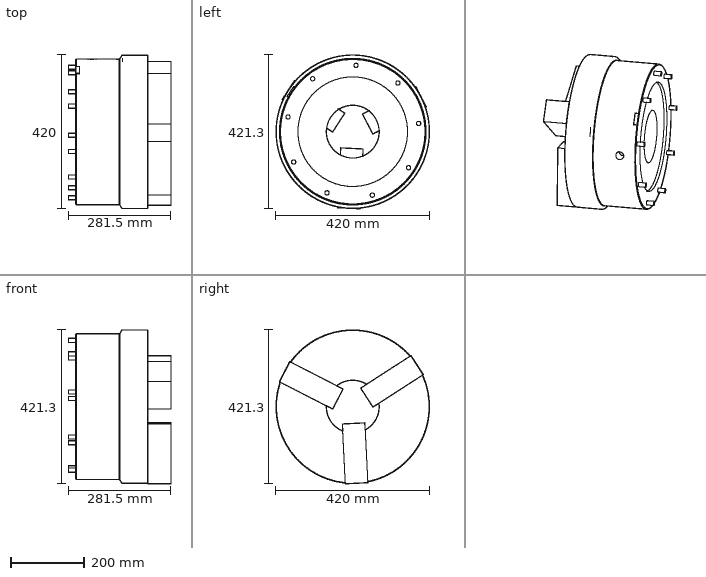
import cadquery as cq
import math

total_length = 281.5

body_radius = 199.5
flange_radius = 420.0 / 2
cone_start = 120.5
flange_start = 127.0
flange_end = 197.5
rear_chamfer = 2.0
front_chamfer = 1.3
cone_fillet = 2.0
bore_radius = 72.0
recess_radius = 150.0
recess_depth = 8.0

bolt_count = 9
bolt_radius = 6.0
bolt_circle_radius = 181.5
bolt_length = 20.0

jaw_count = 3
jaw_width = 62.0
jaw_inner = 45.5
jaw_outer = flange_radius
jaw_length = total_length - bolt_length - flange_end

turn = 2.85
first_jaw_angle = turn + 180 / jaw_count
key_angle = turn - 60
port_angle = turn - 90

port_radius = 11.0
port_place = 44.5
port_depth = 38.0

key_width = 32.5
key_start = 1.0
key_length = 10.0
key_outer = 203.0


def disc(radius, start, length):
    """Round disc about the X axis."""
    return cq.Workplane("YZ").workplane(offset=start).circle(radius).extrude(length)


def radial_block(start, length, width, inner, outer, angle):
    """Box between two radii, turned about X from +Z towards -Y."""
    block = cq.Workplane("XY").box(length, width, outer - inner, centered=(False, True, False))
    return block.translate((start, 0, inner)).rotate((0, 0, 0), (1, 0, 0), angle)


def make_blank():
    """Turned body and flange, with both ends of the cone between them rounded."""
    outline = [
        (0, 0),
        (0, body_radius - rear_chamfer),
        (rear_chamfer, body_radius),
        (cone_start, body_radius),
        (flange_start, flange_radius),
        (flange_end - front_chamfer, flange_radius),
        (flange_end, flange_radius - front_chamfer),
        (flange_end, 0),
    ]
    blank = cq.Workplane("XZ").polyline(outline).close().revolve(360, (0, 0, 0), (1, 0, 0))
    cone_middle = (cone_start + flange_start) / 2
    cone_edges = [
        edge for edge in blank.edges("%CIRCLE").vals()
        if abs(edge.Center().x - cone_middle) < flange_start - cone_start
    ]
    return blank.newObject(cone_edges).fillet(cone_fillet)


def make_port():
    """Blind radial hole, run out to the flange radius to clear the round surface."""
    floor = body_radius - port_depth
    port = cq.Workplane("XY").circle(port_radius).extrude(flange_radius - floor)
    return port.translate((port_place, 0, floor)).rotate((0, 0, 0), (1, 0, 0), port_angle)


def make_bolt(angle):
    y = -bolt_circle_radius * math.sin(math.radians(angle))
    z = bolt_circle_radius * math.cos(math.radians(angle))
    return disc(bolt_radius, -bolt_length, bolt_length).translate((0, y, z))


def make_jaw(angle):
    return radial_block(flange_end, jaw_length, jaw_width, jaw_inner, jaw_outer, angle)


def make_chuck():
    chuck = make_blank()
    chuck = chuck.cut(disc(recess_radius, 0, recess_depth))
    chuck = chuck.cut(disc(bore_radius, 0, flange_end))
    chuck = chuck.cut(make_port())
    for index in range(bolt_count):
        chuck = chuck.union(make_bolt(turn + index * 360 / bolt_count))
    for index in range(jaw_count):
        chuck = chuck.union(make_jaw(first_jaw_angle + index * 360 / jaw_count))
    return chuck


def make_key():
    """Flat-topped key whose underside follows the body and overhangs its rear chamfer."""
    block = radial_block(
        key_start, key_length, key_width, recess_radius, key_outer, key_angle)
    return block.cut(disc(body_radius, 0, cone_start))


chuck = make_chuck().solids()
key = make_key().solids()

result = cq.Compound.makeCompound([chuck.val(), key.val()])